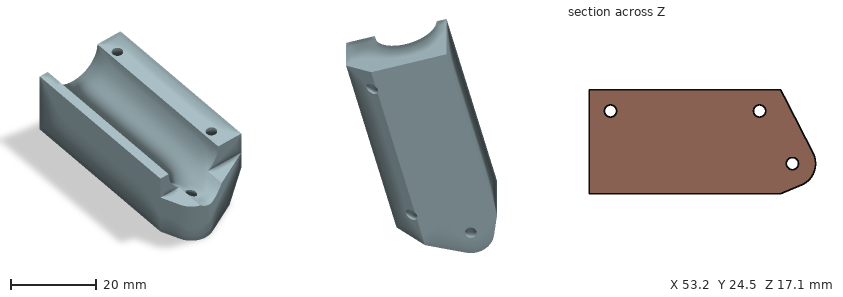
import cadquery as cq
import math

block_length = 45.0
block_width = 24.45
block_height = 17.11
edge_chamfer = 6.1

channel_radius = 7.5
channel_axis_y = 9.95

nose_height = 11.0
nose_radius = 5.5
part_length = 53.2
nose_x = part_length - nose_radius
nose_y = 7.1

hole_diameter = 2.75
hole_end_offset = 5.0
hole_edge_offset = 5.0
hole_y = block_width - hole_edge_offset
hole_centers = [
    (hole_end_offset, hole_y),
    (block_length - hole_end_offset, hole_y),
    (nose_x, nose_y),
]


def tangent_point(corner, side):
    """Point where a line from corner touches the nose round; side is +1 or -1 (turn direction)."""
    dx = corner[0] - nose_x
    dy = corner[1] - nose_y
    to_corner = math.atan2(dy, dx)
    swing = math.acos(nose_radius / math.hypot(dx, dy))
    angle = to_corner + side * swing
    return (nose_x + nose_radius * math.cos(angle), nose_y + nose_radius * math.sin(angle))


def make_block():
    return cq.Workplane("XY").box(block_length, block_width, block_height, centered=False)


def make_nose():
    """Plate narrowing from the full block width to the round, with tangent sides."""
    front_corner = (block_length, 0)
    back_corner = (block_length, block_width)
    round_tip = (nose_x + nose_radius, nose_y)
    return (
        cq.Workplane("XY")
        .moveTo(*front_corner)
        .lineTo(*tangent_point(front_corner, 1))
        .threePointArc(round_tip, tangent_point(back_corner, -1))
        .lineTo(*back_corner)
        .close()
        .extrude(nose_height)
    )


def make_channel():
    return (
        cq.Workplane("YZ")
        .center(channel_axis_y, block_height)
        .circle(channel_radius)
        .extrude(part_length)
    )


def make_edge_cut():
    """Wedge that bevels the lower +Y edge of the block and nose."""
    return (
        cq.Workplane("YZ")
        .moveTo(block_width, 0)
        .lineTo(block_width, edge_chamfer)
        .lineTo(block_width - edge_chamfer, 0)
        .close()
        .extrude(part_length)
    )


def make_holes():
    return (
        cq.Workplane("XY")
        .pushPoints(hole_centers)
        .circle(hole_diameter / 2)
        .extrude(block_height)
    )


result = (
    make_block()
    .union(make_nose())
    .cut(make_channel())
    .cut(make_edge_cut())
    .cut(make_holes())
)